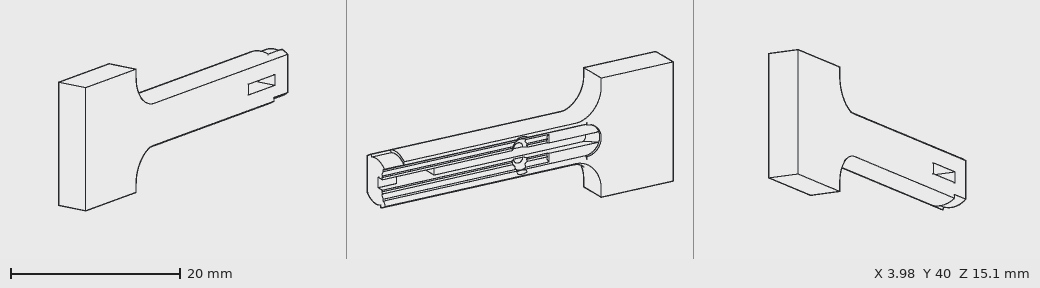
import cadquery as cq
import math

thickness = 3.98
face_x = -thickness / 2
handle_length = 10.0
handle_height = 15.14

stem_length = 30.0
stem_radius = 3.25
root_fillet = 3.5

tip_length = 2.7
tip_radius = 2.9
tip_lip_angle = 70.0

channel_half_width = 1.99
channel_depth = 0.36
channel_floor_x = face_x + channel_depth
channel_end_radius = 2.0
channel_end_center_y = channel_end_radius

grooves_start_y = 7.05
groove_outer_z = 1.75
groove_step_z = 1.51
groove_ridge_z = 1.14
groove_valley_z = 0.90
ridge_depth = 0.17
round_groove_depth = 0.23
valley_depth = 0.27
grooves_end_slope = 0.12

slot_half_width = 0.66
slot_floor_x = -0.5
slot_end_floor_radius = 0.77
window_length = 5.2
window_tip_distance = 2.55

pocket_y = 10.93
pocket_floor_radius = 0.63
pocket_mouth_radius = 1.71
pocket_depth = 0.95

overcut = 1.0


def box_between(x_range, y_range, z_range):
    size = [end - start for start, end in (x_range, y_range, z_range)]
    corner = cq.Vector(x_range[0], y_range[0], z_range[0])
    return cq.Workplane(obj=cq.Solid.makeBox(*size, corner))


def extrude_along_y(sketch, start_y, end_y):
    """Extrude a closed XZ outline drawn on the "XZ" plane, whose normal is -Y."""
    return sketch.extrude(-(end_y - start_y)).translate((0, start_y, 0))


def cone_along_x(center_y, first_x, first_radius, last_x, last_radius):
    """Cone frustum about a line parallel to X."""
    return cq.Workplane(obj=cq.Solid.makeCone(
        first_radius, last_radius, last_x - first_x,
        cq.Vector(first_x, center_y, 0), cq.Vector(1, 0, 0)))


def make_handle():
    half_height = handle_height / 2
    return box_between((face_x, -face_x), (-handle_length, 0), (-half_height, half_height))


def make_stem():
    """Turn the stem and its root fillet about Y, then trim it to the handle thickness."""
    root_radius = stem_radius + root_fillet
    arc_offset = root_fillet * math.sqrt(0.5)
    arc_middle = (root_radius - arc_offset, root_fillet - arc_offset)
    turned = (
        cq.Workplane("XY")
        .moveTo(0, -overcut)
        .lineTo(root_radius, -overcut)
        .lineTo(root_radius, 0)
        .threePointArc(arc_middle, (stem_radius, root_fillet))
        .lineTo(stem_radius, stem_length)
        .lineTo(0, stem_length)
        .close()
        .revolve(360, (0, 0), (0, 1))
    )
    slab = box_between((face_x, -face_x), (-overcut, stem_length), (-root_radius, root_radius))
    return turned.intersect(slab)


def tip_relief():
    """Half rings around the tip; turned about Y, each leaves a lip on the opposite flat face."""
    outer_radius = stem_radius + overcut
    start_y = stem_length - tip_length
    ring = extrude_along_y(
        cq.Workplane("XZ").circle(outer_radius).circle(tip_radius), start_y, stem_length)
    reach = 2 * outer_radius
    lip_angle = math.radians(tip_lip_angle)
    lip_x = reach * math.cos(lip_angle)
    lip_z = reach * math.sin(lip_angle)
    sector = cq.Workplane("XZ").polyline([(0, 0), (lip_x, lip_z), (-reach, lip_z), (-reach, 0)]).close()
    upper = ring.intersect(extrude_along_y(sector, start_y, stem_length))
    return upper.union(upper.rotate((0, 0, 0), (0, 1, 0), 180))


def channel():
    """Channel with convex quarter-round shoulders and a half-round end."""
    shoulder_z = channel_half_width + channel_depth
    arc_offset = channel_depth * math.sqrt(0.5)
    arc_middle = (channel_floor_x - arc_offset, shoulder_z - arc_offset)
    outline = (
        cq.Workplane("XZ")
        .moveTo(channel_floor_x, -channel_half_width)
        .lineTo(channel_floor_x, channel_half_width)
        .threePointArc(arc_middle, (face_x, shoulder_z))
        .lineTo(face_x, -shoulder_z)
        .threePointArc((arc_middle[0], -arc_middle[1]), (channel_floor_x, -channel_half_width))
        .close()
    )
    straight = extrude_along_y(outline, channel_end_center_y, stem_length)
    round_end = (
        cq.Workplane("YZ", origin=(face_x, channel_end_center_y, 0))
        .circle(channel_end_radius)
        .extrude(channel_depth)
    )
    return straight.union(round_end)


def side_grooves():
    """Step, round groove and V groove above the slot with a sloped end, mirrored below it."""
    ridge_x = channel_floor_x + ridge_depth
    round_groove_z = (groove_step_z + groove_ridge_z) / 2
    outline = (
        cq.Workplane("XZ")
        .moveTo(channel_floor_x, 0)
        .lineTo(channel_floor_x, groove_outer_z)
        .lineTo(ridge_x, groove_step_z)
        .threePointArc((channel_floor_x + round_groove_depth, round_groove_z), (ridge_x, groove_ridge_z))
        .lineTo(channel_floor_x + valley_depth, groove_valley_z)
        .lineTo(ridge_x, slot_half_width)
        .lineTo(ridge_x, 0)
        .close()
    )
    straight = extrude_along_y(outline, grooves_start_y, stem_length)
    deepest_x = channel_floor_x + valley_depth
    sloped_end = (
        cq.Workplane("XY")
        .moveTo(channel_floor_x, grooves_start_y)
        .lineTo(deepest_x, grooves_start_y + grooves_end_slope)
        .lineTo(deepest_x, stem_length)
        .lineTo(channel_floor_x, stem_length)
        .close()
        .extrude(channel_half_width)
    )
    upper = straight.intersect(sloped_end)
    return upper.union(upper.mirror("XY"))


def slot():
    z_range = (-slot_half_width, slot_half_width)
    straight = box_between((face_x, slot_floor_x), (channel_end_center_y, stem_length), z_range)
    run_out = cone_along_x(
        channel_end_center_y, channel_floor_x, channel_end_radius, slot_floor_x, slot_end_floor_radius)
    run_out_limit = box_between((face_x, slot_floor_x), (0, stem_length), z_range)
    return straight.union(run_out.intersect(run_out_limit))


def window():
    end_y = stem_length - window_tip_distance
    return box_between(
        (face_x, -face_x), (end_y - window_length, end_y), (-slot_half_width, slot_half_width))


def pockets():
    """Conical pockets that widen towards the -X face, one centred on each edge of the slot."""
    cone = cone_along_x(
        pocket_y, face_x, pocket_mouth_radius, face_x + pocket_depth, pocket_floor_radius)
    upper = cone.translate((0, 0, slot_half_width))
    lower = cone.translate((0, 0, -slot_half_width))
    return upper.union(lower)


result = make_handle().union(make_stem())
for cutter in (tip_relief(), channel(), side_grooves(), slot(), window(), pockets()):
    result = result.cut(cutter)